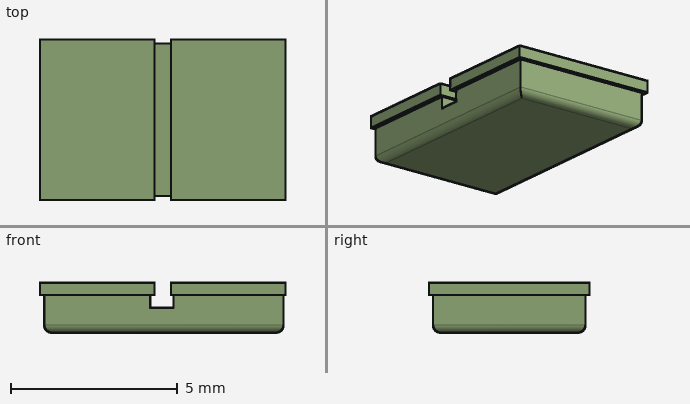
import cadquery as cq

length = 7.37
width = 4.83
height = 1.5

plate_thickness = 0.375
plate_gap = 0.495
plate_length = (length - plate_gap) / 2

left_overhang = 0.125
right_overhang = 0.06
side_overhang = 0.125
body_length = length - left_overhang - right_overhang
body_width = width - 2 * side_overhang
body_height = height - plate_thickness
bottom_radius = 0.235

slot_left_undercut = 0.125
slot_right_undercut = 0.075
slot_depth = 0.375
slot_width = plate_gap + slot_left_undercut + slot_right_undercut


def box_from(x_start, z_start, x_size, y_size, z_size):
    """Box centred on Y with its lower -X edge at the given place."""
    return (
        cq.Workplane("XY")
        .box(x_size, y_size, z_size, centered=(False, True, False))
        .translate((x_start, 0, z_start))
    )


def make_body():
    body = box_from(left_overhang, 0, body_length, body_width, body_height)
    body = body.faces("<Z").edges().fillet(bottom_radius)
    slot = box_from(
        plate_length - slot_left_undercut,
        body_height - slot_depth,
        slot_width,
        body_width,
        slot_depth,
    )
    return body.cut(slot)


result = make_body()
for plate_start in (0, plate_length + plate_gap):
    plate = box_from(plate_start, body_height, plate_length, width, plate_thickness)
    result = result.union(plate)

result = result.translate((-length / 2, 0, 0))